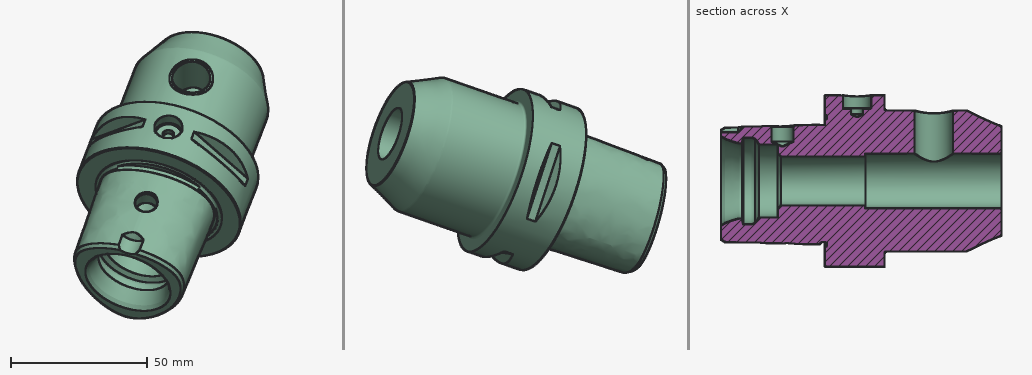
import cadquery as cq
import math


total_length = 103.0
shank_length = 38.0
flange_width = 22.0
tip_y = -shank_length
back_y = total_length - shank_length

flange_radius = 31.5
flange_chamfer = 0.3
body_radius = 26.0
body_fillet = 0.8
nose_radius = 20.2
nose_length = 12.8
nose_edge_chamfer = 0.2
shoulder_round = 1.3

polygon_radius = 22.0
polygon_eccentricity = 1.3
taper = 0.025
neck_length = 2.1
neck_step = 0.1
tip_chamfer_radial = 0.9
tip_chamfer_length = 1.5
polygon_points = 48

groove_inner_radius = 22.6
groove_outer_radius = 24.3
relief_length = 1.0

mouth_radius = 16.4
mouth_chamfer_radius = 15.3
mouth_chamfer_length = 1.6
lip_radius = 13.7
cavity_radius = 13.4
entry_cone_depth = 6.8
lip_depth = 7.6
undercut_radius = 15.9
undercut_start = 8.2
undercut_floor_end = 11.0
undercut_ramp_radius = 15.3
undercut_ramp_depth = 12.6
cavity_step_depth = 14.0
cavity_depth = 20.8
bolt_hole_radius = 9.0
bolt_chamfer = 1.2

bore_radius = 10.0
bore_depth = 50.0
screw_y = 40.2
screw_radius = 7.0
screw_rim_radius = 8.0
screw_rim_depth = 0.1

gripper_y = 11.9
gripper_floor_distance = 27.9
gripper_floor_width = 3.4
gripper_flank_angle = 30.0

chip_radius = 5.2
chip_floor_z = 26.6
chip_floor_chamfer = 0.3
chip_drill_radius = 2.2
chip_drill_depth = 2.1

shank_hole_y = -15.5
shank_hole_radius = 4.0
shank_hole_rim_radius = 4.4
shank_hole_shoulder_z = 14.5
drill_half_angle = 65.0

notch_radius = 5.6
notch_floor_z = 17.9
notch_length = 6.3


def revolved(points):
    """Solid of revolution about Y from (radius, y) points."""
    return cq.Workplane("XY").polyline(points).close().revolve(360, (0, 0, 0), (0, 1, 0))


def vertical_cone(y, z_low, radius_low, z_high, radius_high):
    """Cone or frustum on a vertical axis through (0, y)."""
    outline = [(0, z_low), (radius_low, z_low), (radius_high, z_high), (0, z_high)]
    if radius_low == 0:
        outline.pop(1)
    return (
        cq.Workplane("XZ", origin=(0, y, 0)).polyline(outline).close().revolve(360, (0, 0, 0), (0, 1, 0))
    )


def vertical_cylinder(y, radius, z_low, z_high):
    return vertical_cone(y, z_low, radius, z_high, radius)


def drill_point_length(radius):
    return radius / math.tan(math.radians(drill_half_angle))


def polygon_wire(radius, y):
    """Three-lobed constant-width curve with one lobe toward -Z."""
    points = []
    for i in range(polygon_points):
        angle = 2 * math.pi * i / polygon_points
        support = radius + polygon_eccentricity * math.sin(3 * angle)
        slope = 3 * polygon_eccentricity * math.cos(3 * angle)
        x = support * math.cos(angle) - slope * math.sin(angle)
        z = support * math.sin(angle) + slope * math.cos(angle)
        points.append(cq.Vector(x, y, z))
    return cq.Wire.assembleEdges([cq.Edge.makeSpline(points, periodic=True)])


def polygon_solid(radius_a, y_a, radius_b, y_b):
    wires = [polygon_wire(radius_a, y_a), polygon_wire(radius_b, y_b)]
    return cq.Workplane(cq.Solid.makeLoft(wires, True))


def make_body():
    shoulder_y = back_y - nose_length
    profile = (
        cq.Workplane("XY")
        .moveTo(0, 0)
        .lineTo(flange_radius - flange_chamfer, 0)
        .lineTo(flange_radius, flange_chamfer)
        .lineTo(flange_radius, flange_width)
        .lineTo(body_radius + body_fillet, flange_width)
        .radiusArc((body_radius, flange_width + body_fillet), body_fillet)
        .lineTo(body_radius, shoulder_y)
        .lineTo(nose_radius, back_y - nose_edge_chamfer)
        .lineTo(nose_radius - nose_edge_chamfer, back_y)
        .lineTo(0, back_y)
        .close()
    )
    body = profile.revolve(360, (0, 0, 0), (0, 1, 0))
    shoulder = cq.selectors.BoxSelector(
        (-body_radius - 1, shoulder_y - 0.1, -body_radius - 1),
        (body_radius + 1, shoulder_y + 0.1, body_radius + 1),
        boundingbox=True,
    )
    return body.edges(shoulder).fillet(shoulder_round)


def make_shank():
    chamfer_y = tip_y + tip_chamfer_length
    chamfer_radius = polygon_radius - taper * (shank_length - tip_chamfer_length - neck_length)
    neck_radius = polygon_radius - neck_step
    neck = polygon_solid(neck_radius, 1.0, neck_radius, -neck_length)
    relief = revolved(
        [
            (groove_inner_radius, 1.0),
            (groove_inner_radius, -relief_length),
            (groove_inner_radius + relief_length, -2 * relief_length),
            (flange_radius, -2 * relief_length),
            (flange_radius, 1.0),
        ]
    )
    taper_part = polygon_solid(polygon_radius, -neck_length, chamfer_radius, chamfer_y)
    tip = polygon_solid(chamfer_radius, chamfer_y, chamfer_radius - tip_chamfer_radial, tip_y)
    return neck.union(taper_part).union(tip).cut(relief)


def face_groove():
    """Half-round ring groove in the front face of the flange."""
    middle = (groove_inner_radius + groove_outer_radius) / 2
    radius = (groove_outer_radius - groove_inner_radius) / 2
    return (
        cq.Workplane("XY")
        .moveTo(groove_inner_radius, 0)
        .threePointArc((middle, radius), (groove_outer_radius, 0))
        .close()
        .revolve(360, (0, 0, 0), (0, 1, 0))
    )


def shank_cavity():
    floor_y = tip_y + cavity_depth
    bore_floor_y = back_y - bore_depth
    undercut_arc_end = (undercut_ramp_radius, tip_y + undercut_ramp_depth)
    profile = (
        cq.Workplane("XY")
        .moveTo(0, tip_y)
        .lineTo(mouth_radius, tip_y)
        .lineTo(mouth_chamfer_radius, tip_y + mouth_chamfer_length)
        .lineTo(lip_radius, tip_y + entry_cone_depth)
        .lineTo(lip_radius, tip_y + lip_depth)
        .lineTo(undercut_radius, tip_y + undercut_start)
        .lineTo(undercut_radius, tip_y + undercut_floor_end)
        .tangentArcPoint(undercut_arc_end, relative=False)
        .lineTo(cavity_radius, tip_y + cavity_step_depth)
        .lineTo(cavity_radius, floor_y)
        .lineTo(bolt_hole_radius + bolt_chamfer, floor_y)
        .lineTo(bolt_hole_radius, floor_y + bolt_chamfer)
        .lineTo(bolt_hole_radius, bore_floor_y)
        .lineTo(bore_radius, bore_floor_y)
        .lineTo(bore_radius, back_y)
        .lineTo(0, back_y)
        .close()
    )
    return profile.revolve(360, (0, 0, 0), (0, 1, 0))


def gripper_groove(angle):
    depth = flange_radius - gripper_floor_distance
    half_floor = gripper_floor_width / 2
    half_top = half_floor + depth * math.tan(math.radians(gripper_flank_angle))
    outline = [
        (gripper_y - half_floor, gripper_floor_distance),
        (gripper_y + half_floor, gripper_floor_distance),
        (gripper_y + half_top, flange_radius),
        (gripper_y - half_top, flange_radius),
    ]
    groove = cq.Workplane("YZ").polyline(outline).close().extrude(flange_radius, both=True)
    return groove.rotate((0, 0, 0), (0, 1, 0), angle)


def screw_hole():
    """Radial hole from the top of the body into the tool bore, with a shallow rim sunk along the surface."""
    core_radius = body_radius - screw_rim_depth
    rim_core = revolved([(0, 0), (core_radius, 0), (core_radius, back_y), (0, back_y)])
    rim = vertical_cylinder(screw_y, screw_rim_radius, 0, body_radius).cut(rim_core)
    return vertical_cylinder(screw_y, screw_radius, 0, body_radius).union(rim)


def chip_pocket():
    wall_z = chip_floor_z + chip_floor_chamfer
    pocket = vertical_cylinder(gripper_y, chip_radius, wall_z, flange_radius)
    floor = vertical_cone(
        gripper_y, chip_floor_z, chip_radius - chip_floor_chamfer, wall_z, chip_radius
    )
    drill_z = chip_floor_z - chip_drill_depth
    drill = vertical_cylinder(gripper_y, chip_drill_radius, drill_z, chip_floor_z)
    point_z = drill_z - drill_point_length(chip_drill_radius)
    point = vertical_cone(gripper_y, point_z, 0, drill_z, chip_drill_radius)
    return pocket.union(floor).union(drill).union(point)


def shank_hole():
    top = polygon_radius
    surface_z = polygon_radius - polygon_eccentricity + taper * shank_hole_y
    rim = shank_hole_rim_radius - shank_hole_radius
    hole = vertical_cylinder(shank_hole_y, shank_hole_radius, shank_hole_shoulder_z, top)
    countersink = vertical_cone(
        shank_hole_y, surface_z - rim, shank_hole_radius, surface_z + rim, shank_hole_rim_radius + rim
    )
    point_z = shank_hole_shoulder_z - drill_point_length(shank_hole_radius)
    point = vertical_cone(shank_hole_y, point_z, 0, shank_hole_shoulder_z, shank_hole_radius)
    return hole.union(countersink).union(point)


def tip_notch():
    end_y = tip_y + notch_length
    outline = [(0, tip_y), (notch_radius, tip_y), (notch_radius, end_y), (0, end_y + notch_radius)]
    return revolved(outline).translate((0, 0, notch_floor_z + notch_radius))


result = make_body().union(make_shank())
result = result.cut(face_groove()).cut(shank_cavity())
for corner in range(4):
    result = result.cut(gripper_groove(45 + 90 * corner))
result = result.cut(screw_hole()).cut(chip_pocket()).cut(shank_hole()).cut(tip_notch())